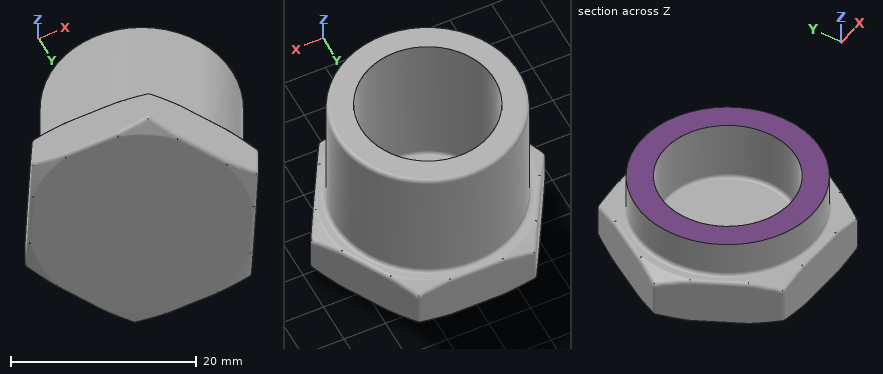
import cadquery as cq
import math

corner_width = 28.15
total_height = 21.0
hex_height = 6.0
body_diameter = 22.0
bore_diameter = 16.0
edge_radius = 0.5
chamfer_start_radius = 12.27
chamfer_angle = 25.0

corner_loss = edge_radius * (1 / math.cos(math.radians(30)) - 1)
sharp_corner_width = corner_width + 2 * corner_loss
chamfer_slope = math.tan(math.radians(chamfer_angle))
floor_thickness = (body_diameter - bore_diameter) / 2
bore_depth = total_height - floor_thickness


def make_chamfer_envelope():
    """Drum with a cone at each end; it trims the six corners of the hexagon."""
    drum_radius = sharp_corner_width / 2 + edge_radius
    cone_drop = (drum_radius - chamfer_start_radius) * chamfer_slope
    return (
        cq.Workplane("XZ")
        .lineTo(chamfer_start_radius, 0)
        .lineTo(drum_radius, cone_drop)
        .lineTo(drum_radius, hex_height - cone_drop)
        .lineTo(chamfer_start_radius, hex_height)
        .lineTo(0, hex_height)
        .close()
        .revolve(360, (0, 0), (0, 1))
    )


def make_hex_head():
    """Hexagon with chamfered corners and all its edges rounded."""
    hexagon = cq.Workplane("XY").polygon(6, sharp_corner_width).extrude(hex_height)
    return hexagon.intersect(make_chamfer_envelope()).edges().fillet(edge_radius)


def make_body():
    """Round body standing on the hexagon, with a rounded rim."""
    return (
        cq.Workplane("XY")
        .circle(body_diameter / 2)
        .extrude(total_height)
        .faces(">Z")
        .edges()
        .fillet(edge_radius)
    )


def make_root_flare():
    """Concave fillet ring where the body meets the top of the hexagon."""
    body_radius = body_diameter / 2
    flare_radius = body_radius + edge_radius
    flare_top = hex_height + edge_radius
    arc_offset = edge_radius * (1 - math.sqrt(0.5))
    return (
        cq.Workplane("XZ")
        .moveTo(0, hex_height)
        .lineTo(flare_radius, hex_height)
        .threePointArc((body_radius + arc_offset, hex_height + arc_offset), (body_radius, flare_top))
        .lineTo(0, flare_top)
        .close()
        .revolve(360, (0, 0), (0, 1))
    )


def make_bore():
    """Blind bore from the top, with a rounded corner around its floor."""
    return (
        cq.Workplane("XY")
        .workplane(offset=floor_thickness)
        .circle(bore_diameter / 2)
        .extrude(bore_depth)
        .faces("<Z")
        .edges()
        .fillet(edge_radius)
    )


result = make_hex_head().union(make_body()).union(make_root_flare()).cut(make_bore())